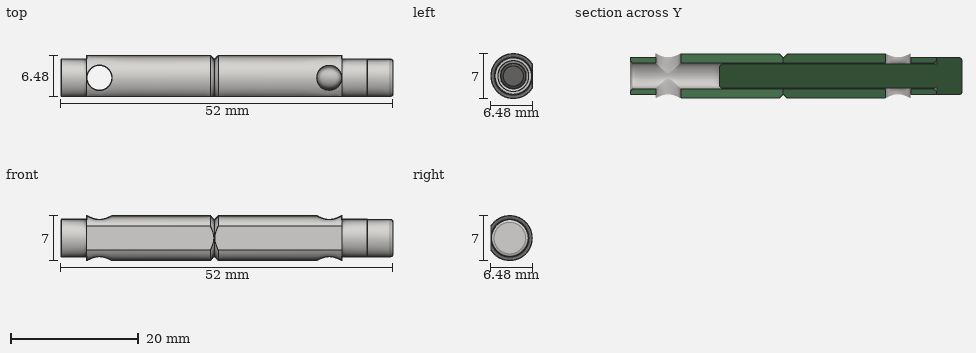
import cadquery as cq

overall_length = 52.0
sleeve_diameter = 7.0
spigot_diameter = 5.95
spigot_end_chamfer = 0.1
spigot_length = 4.0
bore_diameter = 4.0
bore_mouth_chamfer = 0.4
joint_chamfer = 0.6
flat_offset = spigot_diameter / 2
cross_hole_diameter = 3.9
cross_hole_inset = spigot_length / 2

head_diameter = 5.9
head_length = spigot_length
head_round = 0.45
rod_diameter = 3.9
rod_end_chamfer = 0.35

sleeves_end = overall_length - head_length
joint_x = sleeves_end / 2
rod_start = (spigot_length + joint_x) / 2


def rod_along_x(diameter, start, end):
    """Solid cylinder on the common axis between two X positions."""
    return cq.Workplane("YZ", origin=(start, 0, 0)).circle(diameter / 2).extrude(end - start)


def make_sleeve():
    """First sleeve: bored, with a spigot, a flat on -Y and a vertical cross hole."""
    barrel = rod_along_x(sleeve_diameter, spigot_length, joint_x).faces(">X").chamfer(joint_chamfer)

    barrel_length = joint_x - spigot_length
    flat_cutter = cq.Workplane("XY").box(
        barrel_length, sleeve_diameter, sleeve_diameter, centered=(False, False, True)
    ).translate((spigot_length, -flat_offset - sleeve_diameter, 0))
    barrel = barrel.cut(flat_cutter)

    spigot = rod_along_x(spigot_diameter, 0, spigot_length).faces("<X").chamfer(spigot_end_chamfer)
    sleeve = barrel.union(spigot)

    sleeve = sleeve.cut(rod_along_x(bore_diameter, 0, joint_x))
    sleeve = sleeve.faces("<X").edges(cq.selectors.RadiusNthSelector(0)).chamfer(bore_mouth_chamfer)

    hole_x = spigot_length + cross_hole_inset
    cross_hole = (
        cq.Workplane("XY", origin=(hole_x, 0, 0))
        .circle(cross_hole_diameter / 2)
        .extrude(sleeve_diameter, both=True)
    )
    return sleeve.cut(cross_hole)


def make_pin():
    """Headed pin: its rod runs through the second sleeve into the first."""
    rod = rod_along_x(rod_diameter, rod_start, sleeves_end).faces("<X").chamfer(rod_end_chamfer)
    head = rod_along_x(head_diameter, sleeves_end, overall_length).faces(">X").edges().fillet(head_round)
    return rod.union(head)


first_sleeve = make_sleeve()
second_sleeve = first_sleeve.mirror("YZ", (joint_x, 0, 0))
sleeves = [first_sleeve, second_sleeve]
pin = make_pin()

result = cq.Compound.makeCompound([*[sleeve.val() for sleeve in sleeves], pin.val()])